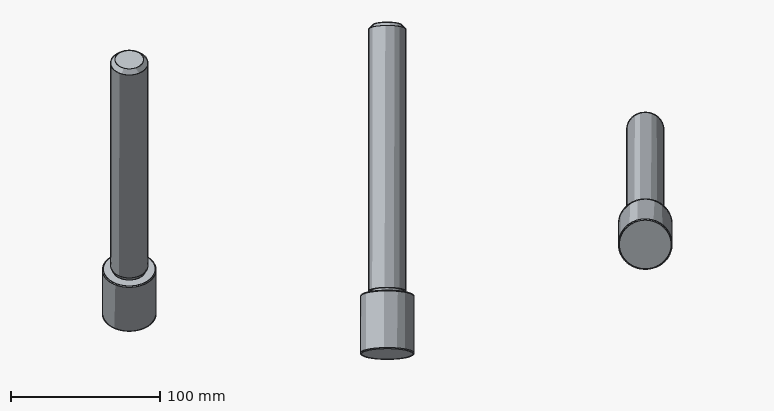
import cadquery as cq

total_height = 225.0

head_diameter = 36.0
head_height = 40.0
head_edge_chamfer = 0.7

shank_diameter = 25.0
neck_diameter = 22.5
neck_height = 3.0
tip_chamfer = 3.0

shank_base = head_height + neck_height
shank_length = total_height - shank_base


def cylinder(diameter, height, base):
    """Upright cylinder centred on the Z axis, starting at the given base height."""
    return cq.Workplane("XY").workplane(offset=base).circle(diameter / 2).extrude(height)


head = cylinder(head_diameter, head_height, 0).edges().chamfer(head_edge_chamfer)
neck = cylinder(neck_diameter, neck_height, head_height)
shank = cylinder(shank_diameter, shank_length, shank_base).faces(">Z").chamfer(tip_chamfer)

result = head.union(neck).union(shank)